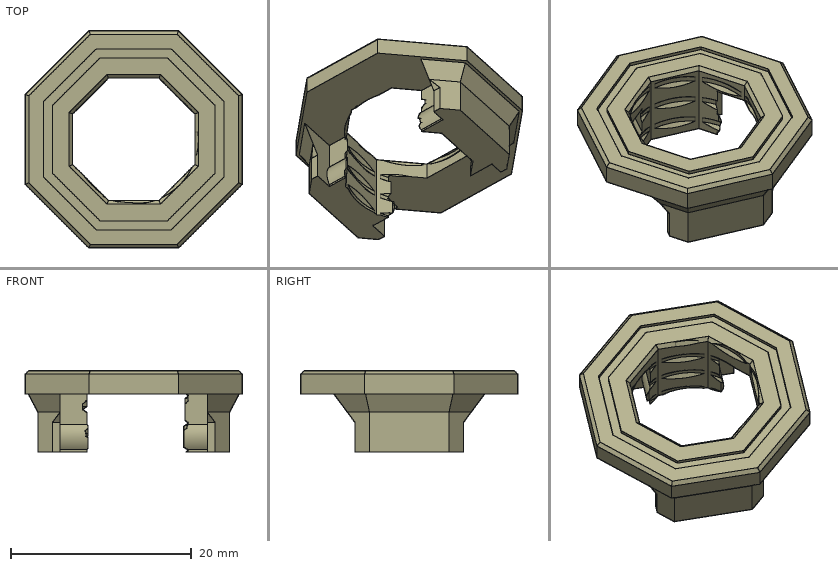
import cadquery as cq
import math

OCTAGON_SIDES = 8
HALF_SECTOR_DEGREES = 180 / OCTAGON_SIDES

FLANGE_ACROSS_FLATS = 24.0
TOTAL_HEIGHT = 9.0
FLANGE_THICKNESS = 2.6
CHAMFER = 0.4
FLANGE_BOTTOM = TOTAL_HEIGHT - FLANGE_THICKNESS

GROOVE_OUTER_FLATS = 20.0
GROOVE_WIDTH = 1.0
GROOVE_DEPTH = 0.4

BORE_ACROSS_FLATS = 13.5

LEG_ACROSS_FLATS = 21.2
LEG_FLARE_HEIGHT = 2.0
LEG_FLARE_REACH = 1.05
LEG_FLARE_BOTTOM = FLANGE_BOTTOM - LEG_FLARE_HEIGHT
LEG_HALF_WIDTH = 6.0
LEG_INNER_X = 8.15

LEG_SIDE_TOP_Y = LEG_ACROSS_FLATS / math.sqrt(2) - LEG_INNER_X
LEG_SIDE_SLOPE = math.sqrt(2) * LEG_FLARE_REACH / LEG_FLARE_HEIGHT
LEG_SIDE_KINK_Z = LEG_FLARE_BOTTOM - (LEG_SIDE_TOP_Y - LEG_HALF_WIDTH) / LEG_SIDE_SLOPE

LEFT_PAD_HALF_WIDTH = 4.4
LEFT_BUMP_INNER_X = 5.03
RIGHT_PAD_HALF_WIDTH = 3.9
RIGHT_BUMP_INNER_X = 5.5
BUMP_BOTTOM = 0.28
BUMP_TOP = 3.04
BUMP_HEIGHT = 0.45

THREAD_PITCH = 3.0
THREAD_ROOT_RADIUS = 7.15
THREAD_CUTTER_INNER_RADIUS = 6.5
THREAD_ROOT_WIDTH = 0.6
THREAD_Z_ON_X_AXIS = 3.2
THREAD_TURNS_BELOW_AXIS_CROSSING = 2
THREAD_TURNS = 4.5


def octagon_outline(across_flats, z):
    """Octagon at height z with flats square to X and Y."""
    corner_diameter = across_flats / math.cos(math.radians(HALF_SECTOR_DEGREES))
    return (
        cq.Workplane("XY")
        .transformed(offset=(0, 0, z), rotate=(0, 0, HALF_SECTOR_DEGREES))
        .polygon(OCTAGON_SIDES, corner_diameter)
    )


def octagon_prism(across_flats, bottom, height):
    return octagon_outline(across_flats, bottom).extrude(height)


def octagon_flare(across_flats, bottom, height, reach):
    """Frustum whose flats move outward by reach over its height."""
    lower = octagon_outline(across_flats, bottom).wires().val()
    upper = octagon_outline(across_flats + 2 * reach, bottom + height).wires().val()
    return cq.Workplane(cq.Solid.makeLoft([lower, upper], True))


def span(x_start, x_end, half_width, height):
    """Block standing on z = 0, symmetric about y = 0."""
    return (
        cq.Workplane("XY")
        .center((x_start + x_end) / 2, 0)
        .rect(abs(x_end - x_start), 2 * half_width)
        .extrude(height)
    )


def make_flange():
    flange = octagon_prism(FLANGE_ACROSS_FLATS, FLANGE_BOTTOM, FLANGE_THICKNESS)
    flange = flange.faces(">Z").chamfer(CHAMFER)
    groove_bottom = TOTAL_HEIGHT - GROOVE_DEPTH
    groove = octagon_prism(GROOVE_OUTER_FLATS, groove_bottom, GROOVE_DEPTH)
    island = octagon_prism(GROOVE_OUTER_FLATS - 2 * GROOVE_WIDTH, groove_bottom, GROOVE_DEPTH)
    return flange.cut(groove.cut(island))


def make_leg_shells():
    side_profile = (
        cq.Workplane("YZ")
        .moveTo(-LEG_HALF_WIDTH, 0)
        .lineTo(LEG_HALF_WIDTH, 0)
        .lineTo(LEG_HALF_WIDTH, LEG_SIDE_KINK_Z)
        .lineTo(LEG_SIDE_TOP_Y, LEG_FLARE_BOTTOM)
        .lineTo(-LEG_SIDE_TOP_Y, LEG_FLARE_BOTTOM)
        .lineTo(-LEG_HALF_WIDTH, LEG_SIDE_KINK_Z)
        .close()
        .extrude(FLANGE_ACROSS_FLATS / 2, both=True)
    )
    lower = octagon_prism(LEG_ACROSS_FLATS, 0, LEG_FLARE_BOTTOM).intersect(side_profile)
    upper = octagon_flare(LEG_ACROSS_FLATS, LEG_FLARE_BOTTOM, LEG_FLARE_HEIGHT, LEG_FLARE_REACH)
    gap = span(-LEG_INNER_X, LEG_INNER_X, FLANGE_ACROSS_FLATS / 2, FLANGE_BOTTOM)
    return lower.cut(gap).union(upper.cut(gap))


def make_pad(side, half_width, bump_inner_x):
    """Pad inside one leg; side is -1 for the -X leg and +1 for the +X leg."""
    pad = span(0, side * LEG_INNER_X, half_width, FLANGE_BOTTOM)
    bump_middle = (BUMP_BOTTOM + BUMP_TOP) / 2
    bumps = (
        cq.Workplane("YZ", origin=(side * bump_inner_x, 0, 0))
        .moveTo(-half_width, BUMP_BOTTOM)
        .lineTo(half_width, BUMP_BOTTOM)
        .threePointArc((half_width + BUMP_HEIGHT, bump_middle), (half_width, BUMP_TOP))
        .lineTo(-half_width, BUMP_TOP)
        .threePointArc((-half_width - BUMP_HEIGHT, bump_middle), (-half_width, BUMP_BOTTOM))
        .close()
        .extrude(side * (LEG_INNER_X - bump_inner_x))
    )
    return pad.union(bumps)


def make_bore():
    straight = octagon_prism(BORE_ACROSS_FLATS, 0, TOTAL_HEIGHT)
    countersink = octagon_flare(BORE_ACROSS_FLATS, TOTAL_HEIGHT - CHAMFER, CHAMFER, CHAMFER)
    return straight.union(countersink)


def make_thread_cutter():
    """Trapezoidal ridge with 45 degree flanks, wound right-handed around Z."""
    start_z = THREAD_Z_ON_X_AXIS - THREAD_TURNS_BELOW_AXIS_CROSSING * THREAD_PITCH
    half_root = THREAD_ROOT_WIDTH / 2
    half_mouth = half_root + THREAD_ROOT_RADIUS - THREAD_CUTTER_INNER_RADIUS
    helix = cq.Wire.makeHelix(
        THREAD_PITCH,
        THREAD_TURNS * THREAD_PITCH,
        THREAD_CUTTER_INNER_RADIUS,
        center=cq.Vector(0, 0, start_z),
    )
    return (
        cq.Workplane("XZ")
        .moveTo(THREAD_CUTTER_INNER_RADIUS, start_z - half_mouth)
        .lineTo(THREAD_ROOT_RADIUS, start_z - half_root)
        .lineTo(THREAD_ROOT_RADIUS, start_z + half_root)
        .lineTo(THREAD_CUTTER_INNER_RADIUS, start_z + half_mouth)
        .close()
        .sweep(cq.Workplane(helix), isFrenet=True)
    )


body = make_flange().union(make_leg_shells())
body = body.union(make_pad(-1, LEFT_PAD_HALF_WIDTH, LEFT_BUMP_INNER_X))
body = body.union(make_pad(1, RIGHT_PAD_HALF_WIDTH, RIGHT_BUMP_INNER_X))
body = body.cut(make_bore())
result = body.cut(make_thread_cutter())